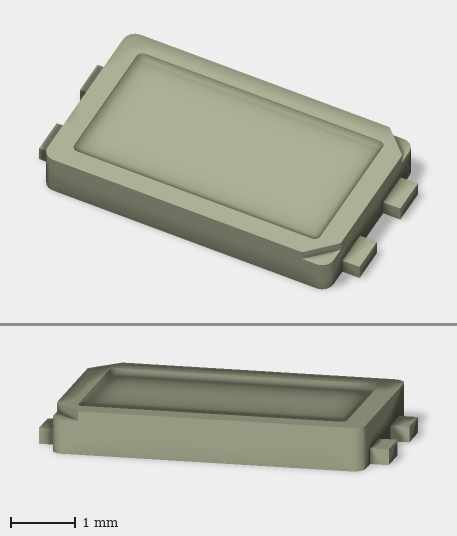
import cadquery as cq

overall_length = 5.6
body_length = 5.0
body_width = 3.0
body_height = 0.7
corner_radius = 0.2

lead_width = 0.6
lead_height = 0.25
lead_spacing = 1.4

window_length = 4.3
window_width = 2.34
window_depth = 0.1

notch_leg = 0.45
notch_depth = 0.15


def make_body():
    return (
        cq.Workplane("XY")
        .box(body_length, body_width, body_height, centered=(True, True, False))
        .edges("|Z")
        .fillet(corner_radius)
    )


def make_leads():
    return (
        cq.Workplane("XY")
        .pushPoints([(0, -lead_spacing / 2), (0, lead_spacing / 2)])
        .box(overall_length, lead_width, lead_height, centered=(True, True, False))
    )


def make_window():
    tool_height = 2 * window_depth
    floor_z = body_height - window_depth
    return (
        cq.Workplane("XY", origin=(0, 0, floor_z))
        .box(window_length, window_width, tool_height, centered=(True, True, False))
        .edges("|Z or <Z")
        .fillet(window_depth)
    )


def make_notch(side):
    """Triangular step at the +X corner on the given Y side (+1 or -1)."""
    corner_x = body_length / 2
    corner_y = side * body_width / 2
    return (
        cq.Workplane("XY", origin=(0, 0, body_height - notch_depth))
        .moveTo(corner_x, corner_y)
        .lineTo(corner_x - notch_leg, corner_y)
        .lineTo(corner_x, corner_y - side * notch_leg)
        .close()
        .extrude(notch_depth)
    )


result = make_body().union(make_leads()).cut(make_window())
for side in (-1, 1):
    result = result.cut(make_notch(side))